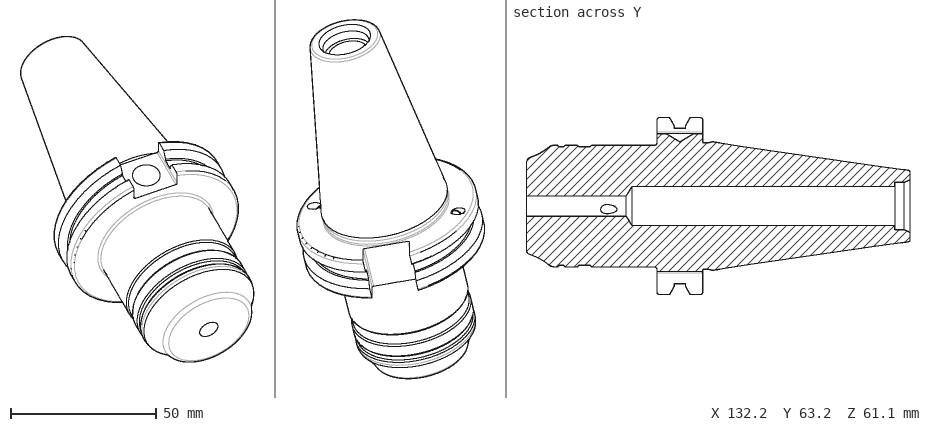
import cadquery as cq
import math

length = 132.2

taper_rate = 7 / 24
gauge_x = 68.1
gauge_radius = 22.2
shank_end_radius = gauge_radius - taper_rate * gauge_x / 2
shank_rim_round = 0.8
relief_radius = 21.8
relief_x = 69.7
relief_fillet = 0.4

flange_x = 71.4
flange_width = 15.9
flange_end_x = flange_x + flange_width
flange_radius = 31.6
flange_rim_round = 0.9
groove_x = flange_x + flange_width / 2
groove_radius = 28.0
groove_floor_width = 3.8
groove_wall_height = 0.8
groove_half_angle = 30
neck_fillet = 0.8

slot_width = 16.3
slot_corner_radius = 0.5
top_slot_floor = 25.0
bottom_slot_floor = 22.6
dimple_diameter = 9.5
dimple_angle = 118

body_radius = 21.0
band_radius = 20.5
band_wall = 0.7
bands = [(109.6, 114.8), (118.8, 121.5)]
shoulder_x = 122.7
shoulder_end_x = 123.9
shoulder_end_radius = 20.8
nose_end_radius = 16.4
nose_sweep_radius = 21.8
nose_rim_round = 1.7

mouth_diameter = 18.1
mouth_depth = 2.1
counterbore_diameter = 16.3
counterbore_depth = 5.3
bore_diameter = 13.4
bore_depth = 95.9
drill_tip_angle = 118
through_diameter = 6.9

coolant_entry_diameter = 4.0
coolant_diameter = 3.3
coolant_entry_depth = 1.7
coolant_circle_radius = 27.0
coolant_position_angle = 20
coolant_slant = 36


def cone_height(radius_change, included_angle):
    """Axial length of a cone that changes radius by the given amount."""
    return radius_change / math.tan(math.radians(included_angle / 2))


def turned_blank():
    """Outer shape of the holder as one revolved half section."""
    groove_floor_half = groove_floor_width / 2
    groove_wall_radius = groove_radius + groove_wall_height
    groove_flare = (flange_radius - groove_wall_radius) * math.tan(math.radians(groove_half_angle))
    groove_top_half = groove_floor_half + groove_flare

    profile = (
        cq.Workplane("XY")
        .lineTo(0, shank_end_radius)
        .lineTo(gauge_x, gauge_radius)
        .lineTo(relief_x, relief_radius)
        .lineTo(flange_x - relief_fillet, relief_radius)
        .radiusArc((flange_x, relief_radius + relief_fillet), -relief_fillet)
        .lineTo(flange_x, flange_radius - flange_rim_round)
        .radiusArc((flange_x + flange_rim_round, flange_radius), flange_rim_round)
        .lineTo(groove_x - groove_top_half, flange_radius)
        .lineTo(groove_x - groove_floor_half, groove_wall_radius)
        .lineTo(groove_x - groove_floor_half, groove_radius)
        .lineTo(groove_x + groove_floor_half, groove_radius)
        .lineTo(groove_x + groove_floor_half, groove_wall_radius)
        .lineTo(groove_x + groove_top_half, flange_radius)
        .lineTo(flange_end_x - flange_rim_round, flange_radius)
        .radiusArc((flange_end_x, flange_radius - flange_rim_round), flange_rim_round)
        .lineTo(flange_end_x, body_radius + neck_fillet)
        .radiusArc((flange_end_x + neck_fillet, body_radius), -neck_fillet)
    )
    for start, end in bands:
        profile = (
            profile.lineTo(start, body_radius)
            .lineTo(start + band_wall, band_radius)
            .lineTo(end - band_wall, band_radius)
            .lineTo(end, body_radius)
        )
    profile = (
        profile.lineTo(shoulder_x, body_radius)
        .lineTo(shoulder_end_x, shoulder_end_radius)
        .radiusArc((length, nose_end_radius), -nose_sweep_radius)
        .lineTo(length, 0)
        .close()
    )
    blank = profile.revolve(360, (0, 0, 0), (1, 0, 0))
    blank = blank.faces("<X").edges().fillet(shank_rim_round)
    return blank.faces(">X").edges().fillet(nose_rim_round)


def bore():
    """Stepped bore with a drill-point floor and a through hole."""
    through_radius = through_diameter / 2
    tip = cone_height(bore_diameter / 2 - through_radius, drill_tip_angle)
    return (
        cq.Workplane("XY")
        .lineTo(0, mouth_diameter / 2)
        .lineTo(mouth_depth, counterbore_diameter / 2)
        .lineTo(counterbore_depth, counterbore_diameter / 2)
        .lineTo(counterbore_depth, bore_diameter / 2)
        .lineTo(bore_depth, bore_diameter / 2)
        .lineTo(bore_depth + tip, through_radius)
        .lineTo(length, through_radius)
        .lineTo(length, 0)
        .close()
        .revolve(360, (0, 0, 0), (1, 0, 0))
    )


def drive_slot(floor):
    """Cutter for a slot above the given height, with rounded floor corners."""
    height = flange_radius - floor
    return (
        cq.Workplane("XY")
        .box(flange_width, slot_width, height, centered=(False, True, False))
        .edges("|X and <Z")
        .fillet(slot_corner_radius)
        .translate((flange_x, 0, floor))
    )


def dimple():
    """Conical dimple in the floor of the top slot."""
    radius = dimple_diameter / 2
    depth = cone_height(radius, dimple_angle)
    cone = cq.Solid.makeCone(
        radius, 0, depth, cq.Vector(groove_x, 0, top_slot_floor), cq.Vector(0, 0, -1)
    )
    return cq.Workplane(cone)


def coolant_hole():
    """Stepped hole slanting from the flange face down to the axis of the through hole."""
    slant = math.radians(coolant_slant)
    direction = cq.Vector(math.cos(slant), -math.sin(slant), 0)
    entry = cq.Vector(flange_x, coolant_circle_radius, 0)
    overrun = coolant_entry_diameter
    reach = coolant_circle_radius / math.sin(slant)
    start = entry - direction * overrun
    wide = cq.Solid.makeCylinder(
        coolant_entry_diameter / 2, overrun + coolant_entry_depth, start, direction
    )
    narrow = cq.Solid.makeCylinder(coolant_diameter / 2, reach, entry, direction)
    return cq.Workplane(wide).union(cq.Workplane(narrow))


result = turned_blank().cut(bore())
result = result.cut(drive_slot(top_slot_floor))
result = result.cut(drive_slot(bottom_slot_floor).rotate((0, 0, 0), (1, 0, 0), 180))
result = result.cut(dimple())
for half_turn in (0, 180):
    hole = coolant_hole().rotate((0, 0, 0), (1, 0, 0), coolant_position_angle + half_turn)
    result = result.cut(hole)